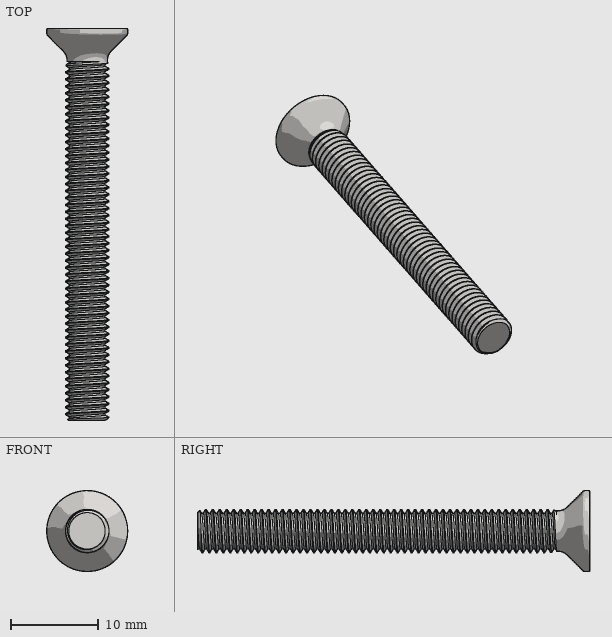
import cadquery as cq
import math


length = 45.0
head_diameter = 9.3

top_rim_round = 0.2
rim_depth = 0.7
rim_round = 0.4
neck_diameter = 4.7
neck_round = 1.4
neck_end = 3.82

crest_diameter = 5.0
pitches_per_length = 56.25
pitch = length / pitches_per_length
spare_turns = 2
crest_flat = pitch / 8
root_flat = pitch / 4
flank_angle = 30.0
thread_phase = 65.0
trim_clearance = 0.22
run_out_length = 0.8

tip_radius = 2.1

flank_run = (pitch - root_flat - crest_flat) / 2
turn_count = math.ceil((length - neck_end) / pitch) + 2 * spare_turns
thread_depth = flank_run / math.tan(math.radians(flank_angle))

head_radius = head_diameter / 2
neck_radius = neck_diameter / 2
crest_radius = crest_diameter / 2
core_radius = crest_radius - thread_depth


def revolve_profile(profile):
    """Revolve a closed XY profile about the Y axis."""
    return profile.revolve(360, (0, 0, 0), (0, 1, 0))


def make_head():
    """Head with rounded rim, 45 degree cone and a neck blended in by an arc."""
    diagonal = math.sqrt(0.5)
    bisector = math.radians(45 / 2)
    corner_setback = math.tan(bisector)

    rim_setback = rim_round * corner_setback
    rim_centre = (head_radius - rim_round, -rim_depth + rim_setback)
    rim_arc_start = (head_radius, rim_centre[1])
    rim_arc_middle = (
        rim_centre[0] + rim_round * math.cos(bisector),
        rim_centre[1] - rim_round * math.sin(bisector),
    )
    rim_arc_end = (rim_centre[0] + rim_round * diagonal, rim_centre[1] - rim_round * diagonal)

    cone_foot = -(rim_depth + head_radius - neck_radius)
    neck_setback = neck_round * corner_setback
    neck_centre = (neck_radius + neck_round, cone_foot - neck_setback)
    neck_arc_start = (neck_centre[0] - neck_round * diagonal, neck_centre[1] + neck_round * diagonal)
    neck_arc_middle = (
        neck_centre[0] - neck_round * math.cos(bisector),
        neck_centre[1] + neck_round * math.sin(bisector),
    )
    neck_arc_end = (neck_radius, neck_centre[1])

    profile = (
        cq.Workplane("XY")
        .moveTo(0, 0)
        .lineTo(head_radius - top_rim_round, 0)
        .radiusArc((head_radius, -top_rim_round), top_rim_round)
        .lineTo(*rim_arc_start)
        .threePointArc(rim_arc_middle, rim_arc_end)
        .lineTo(*neck_arc_start)
        .threePointArc(neck_arc_middle, neck_arc_end)
        .lineTo(neck_radius, -neck_end)
        .lineTo(0, -neck_end)
        .close()
    )
    return revolve_profile(profile)


def make_thread_limits():
    """Round body that trims the thread: run-out cone below the neck, chamfer at the tip."""
    outside = crest_radius + trim_clearance
    run_out_slope = run_out_length / (crest_radius - neck_radius)
    profile = (
        cq.Workplane("XY")
        .moveTo(0, -neck_end)
        .lineTo(neck_radius, -neck_end)
        .lineTo(outside, -neck_end - run_out_slope * (outside - neck_radius))
        .lineTo(outside, -length + outside - tip_radius)
        .lineTo(tip_radius, -length)
        .lineTo(0, -length)
        .close()
    )
    return revolve_profile(profile)


def make_endless_thread():
    """Solid right-handed threaded rod along Z, built turn by turn from helical strips."""
    rises_and_radii = [
        (0, core_radius),
        (root_flat, core_radius),
        (root_flat + flank_run, crest_radius),
        (root_flat + flank_run + crest_flat, crest_radius),
        (pitch, core_radius),
    ]

    def helix(turn, rise, radius):
        start = cq.Vector(0, 0, turn * pitch + rise)
        return cq.Wire.makeHelix(pitch, pitch, radius).Edges()[0].translate(start)

    faces = []
    for turn in range(turn_count):
        helices = [helix(turn, rise, radius) for rise, radius in rises_and_radii]
        for lower, upper in zip(helices, helices[1:]):
            faces.append(cq.Face.makeRuledSurface(lower, upper))

    for end_turn in (0, turn_count):
        base = end_turn * pitch
        axis = cq.Edge.makeLine(cq.Vector(0, 0, base), cq.Vector(0, 0, base + pitch))
        faces.append(cq.Face.makeRuledSurface(axis, helix(end_turn, 0, core_radius)))
        outline = [cq.Vector(radius, 0, base + rise) for rise, radius in rises_and_radii]
        outline += [axis.endPoint(), axis.startPoint()]
        faces.append(cq.Face.makeFromWires(cq.Wire.makePolygon(outline, close=True)))

    return cq.Workplane(obj=cq.Solid.makeSolid(cq.Shell.makeShell(faces)))


def make_thread():
    """Threaded shank from the neck to the chamfered tip."""
    rod = (
        make_endless_thread()
        .rotate((0, 0, 0), (0, 0, 1), thread_phase)
        .rotate((0, 0, 0), (1, 0, 0), -90)
        .translate((0, -length - spare_turns * pitch, 0))
    )
    return make_thread_limits().intersect(rod)


result = make_head().union(make_thread())